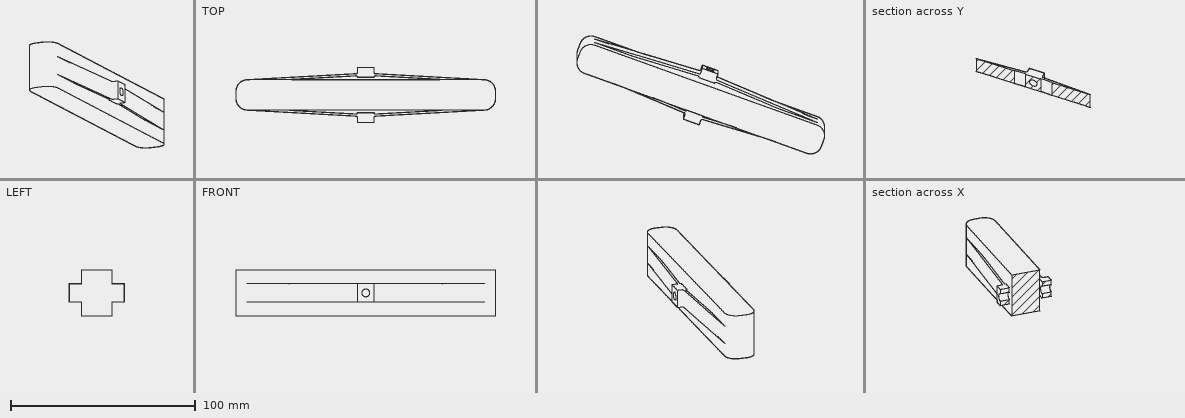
import cadquery as cq
import math

body_length = 140.66
body_width = 16.57
body_height = 25.0
corner_radius = 6.3

overall_width = 29.9
spring_height = 10.0
spring_thickness = 1.27
spring_slope_angle = 3.17
spring_gap = 1.25
block_length = 9.1
block_fillet_radius = 0.7
hole_diameter = 4.2

end_x = body_length / 2
side_y = body_width / 2
spring_tilt = math.radians(spring_slope_angle)
spring_slope = math.tan(spring_tilt)
corner_center_x = end_x - corner_radius
corner_center_y = side_y - corner_radius * math.cos(spring_tilt)
root_x = corner_center_x + corner_radius * math.sin(spring_tilt)
block_x = block_length / 2
block_inner_y = side_y + spring_gap
block_outer_y = overall_width / 2
spring_outer_y = side_y + (root_x - block_x) * spring_slope
spring_inner_y = spring_outer_y - spring_thickness
inner_root_x = root_x - spring_thickness / spring_slope


def corner_arc_middle():
    """Point halfway along the corner arc at +X, +Y."""
    half_sweep = (math.pi / 2 - spring_tilt) / 2
    return (
        corner_center_x + corner_radius * math.cos(half_sweep),
        corner_center_y + corner_radius * math.sin(half_sweep),
    )


def make_body():
    middle_x, middle_y = corner_arc_middle()
    return (
        cq.Workplane("XY")
        .moveTo(-root_x, side_y)
        .lineTo(root_x, side_y)
        .threePointArc((middle_x, middle_y), (end_x, corner_center_y))
        .lineTo(end_x, -corner_center_y)
        .threePointArc((middle_x, -middle_y), (root_x, -side_y))
        .lineTo(-root_x, -side_y)
        .threePointArc((-middle_x, -middle_y), (-end_x, -corner_center_y))
        .lineTo(-end_x, corner_center_y)
        .threePointArc((-middle_x, middle_y), (-root_x, side_y))
        .close()
        .extrude(body_height / 2, both=True)
    )


def spring_half_outline():
    """Strip and block corners on the +X half, from the block's outer face round to its inner face."""
    return [
        (block_x, block_outer_y),
        (block_x, spring_outer_y),
        (root_x, side_y),
        (inner_root_x, side_y),
        (block_x, spring_inner_y),
        (block_x, block_inner_y),
    ]


def make_spring():
    """Bowed strip with its block on the +Y side of the body."""
    right_half = spring_half_outline()
    left_half = [(-x, y) for x, y in reversed(right_half)]
    strip = (
        cq.Workplane("XY")
        .polyline(right_half + left_half)
        .close()
        .extrude(spring_height / 2, both=True)
    )
    for x in (-block_x, block_x):
        for y in (spring_inner_y, spring_outer_y):
            corner = cq.selectors.NearestToPointSelector((x, y, 0))
            strip = strip.edges("|Z").edges(corner).fillet(block_fillet_radius)
    hole = (
        cq.Workplane("XZ", origin=(0, block_outer_y, 0))
        .circle(hole_diameter / 2)
        .extrude(block_outer_y - block_inner_y)
    )
    return strip.cut(hole)


spring = make_spring()
result = make_body().union(spring).union(spring.mirror("XZ"))